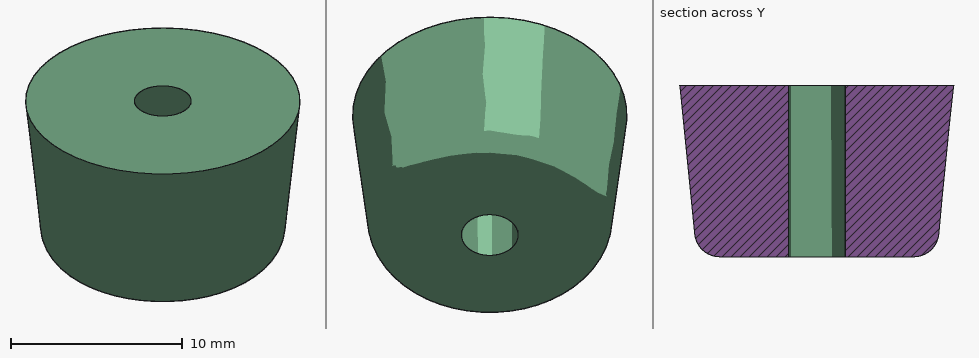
import cadquery as cq

top_diameter = 16.0
base_diameter = 14.0
height = 10.0
edge_radius = 1.5
hole_diameter = 3.3


def tapered_body():
    """Solid truncated cone, revolved about Z from a half profile on the -X side."""
    half_profile = (
        cq.Workplane("XZ")
        .moveTo(0, 0)
        .lineTo(-base_diameter / 2, 0)
        .lineTo(-top_diameter / 2, height)
        .lineTo(0, height)
        .close()
    )
    return half_profile.revolve(360, (0, 0, 0), (0, 1, 0))


def round_bottom_edge(body):
    return body.faces("<Z").edges().fillet(edge_radius)


def drill_center_hole(body):
    return body.faces(">Z").workplane(origin=(0, 0, height)).hole(hole_diameter)


result = drill_center_hole(round_bottom_edge(tapered_body()))